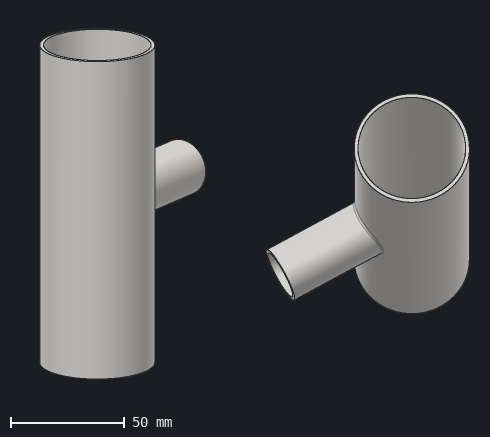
import cadquery as cq

pipe_length = 146.0
pipe_diameter = 50.8
wall = 1.8
pipe_bore = pipe_diameter - 2 * wall

branch_diameter = pipe_diameter / 2
branch_bore = branch_diameter - 2 * wall
overall_depth = 92.1
branch_reach = overall_depth - pipe_diameter / 2
joint_fillet = 0.9


def upright_cylinder(diameter):
    return cq.Workplane("XY").circle(diameter / 2).extrude(pipe_length / 2, both=True)


def branch_cylinder(diameter):
    """Cylinder along +Y from the pipe axis to the branch end."""
    return cq.Workplane("XZ").circle(diameter / 2).extrude(-branch_reach)


outside = upright_cylinder(pipe_diameter).union(branch_cylinder(branch_diameter))

outside = outside.edges("not(%CIRCLE or %LINE)").fillet(joint_fillet)

result = outside.cut(upright_cylinder(pipe_bore)).cut(branch_cylinder(branch_bore))